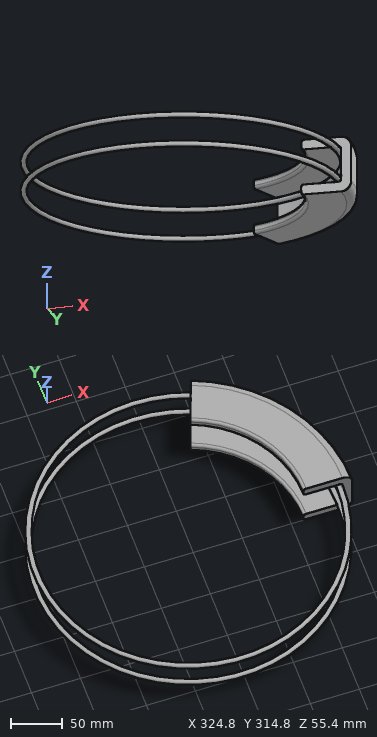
import cadquery as cq
import math

channel_height = 55.4
channel_inner_radius = 117.4
channel_outer_radius = 167.4
channel_sweep = 70.0
wall = 10.0
back_edge_radius = wall
lip_edge_radius = 3.0

wire_radius = 3.1

half_height = channel_height / 2
half_gap = half_height - wall
back_face_radius = channel_outer_radius - wall
ring_radius = back_face_radius - wire_radius
ring_height = half_gap - wire_radius


def channel_section():
    """C-shaped face in the XZ plane with rounded back edges, inside corners and lips."""
    outline = [
        (channel_inner_radius, 0, -half_height),
        (channel_outer_radius, 0, -half_height),
        (channel_outer_radius, 0, half_height),
        (channel_inner_radius, 0, half_height),
        (channel_inner_radius, 0, half_gap),
        (back_face_radius, 0, half_gap),
        (back_face_radius, 0, -half_gap),
        (channel_inner_radius, 0, -half_gap),
    ]
    section = cq.Face.makeFromWires(cq.Wire.makePolygon(outline, close=True))
    edge_radius_at = {
        channel_outer_radius: back_edge_radius,
        back_face_radius: wire_radius,
        channel_inner_radius: lip_edge_radius,
    }
    for radial_place, edge_radius in edge_radius_at.items():
        corners = [v for v in section.Vertices() if math.isclose(v.X, radial_place)]
        section = section.fillet2D(edge_radius, corners)
    return section


def make_channel():
    """Channel segment that starts on +X and turns about Z towards +Y."""
    axis_start = cq.Vector(0, 0, 0)
    axis_end = cq.Vector(0, 0, 1)
    return cq.Workplane(cq.Solid.revolve(channel_section(), channel_sweep, axis_start, axis_end))


def make_ring(height):
    """Full wire ring around Z at the given height."""
    return cq.Workplane(cq.Solid.makeTorus(ring_radius, wire_radius, cq.Vector(0, 0, height)))


result = make_channel()
for height in (-ring_height, ring_height):
    result = result.union(make_ring(height))